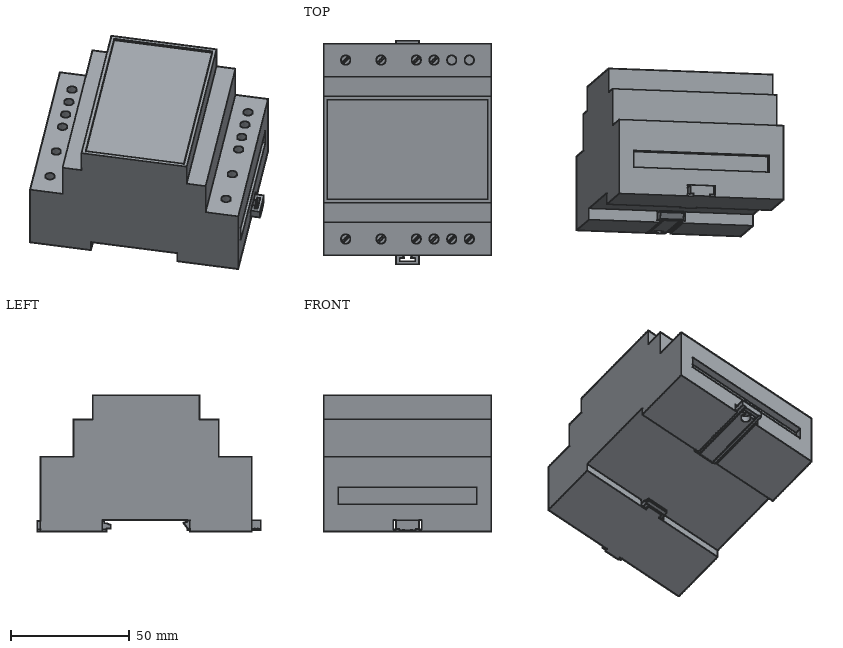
import cadquery as cq

overall_length = 94.7
width = 71.0
height = 57.8
rear_end = overall_length / 2
front_end = -overall_length / 2

housing_middle = 1.2
base_half = 44.8
shoulder_half = 30.8
top_half = 22.6
base_height = 31.8
shoulder_height = 47.5
rail_half = 18.6
rail_depth = 4.8
housing_front = housing_middle - base_half
front_leg_inside = housing_middle - rail_half
rear_leg_inside = housing_middle + rail_half

panel_margin = 1.5
panel_depth = 0.9

pitch = 7.5
hole_steps = [-3.5, -1.5, 0.5, 1.5, 2.5, 3.5]
hole_diameter = 4.0
hole_depth = 4.7
row_offset = 37.9
slot_width = 0.8
slot_depth = 0.5
slot_angle = 45.0
front_slotted_count = 6
rear_slotted_count = 4

window_width = 58.5
window_bottom = 11.6
window_height = 7.2
window_depth = 2.8

clip_width = 9.9
clip_tongue_width = 7.0
clip_height = 4.2
clip_tongue_height = 0.7
clip_clearance = 1.0
ledge_height = 0.9
channel_width = clip_width + 2 * clip_clearance
front_gap_width = clip_width

latch_bottom = rail_depth - clip_height
latch_step = latch_bottom + clip_tongue_height
latch_overhang = 1.0
latch_hook_reach = 1.8
latch_face = front_leg_inside + latch_overhang
latch_tip = latch_face + latch_hook_reach
latch_tip_height = 3.8
latch_hook_top = 4.3

pull_wall = 1.3
pull_width = 6.4
pull_length = 1.3
neck_width = 2.8
pull_hole_diameter = 4.0
pull_hole_inset = 0.5

foot_top = 4.5
foot_overhang = 1.9
foot_upper_overhang = 0.9
foot_hook_reach = 1.7
foot_face = rear_leg_inside - foot_overhang
foot_upper_face = rear_leg_inside - foot_upper_overhang
foot_tip = foot_face - foot_hook_reach
foot_hook_bottom = 1.3
foot_tip_height = 2.8
foot_hook_top = 3.6


def box(x_size, y_start, y_end, z_start, z_end):
    """Block centred on X between the given Y and Z limits."""
    block = cq.Workplane("XY").box(x_size, y_end - y_start, z_end - z_start, centered=(True, False, False))
    return block.translate((0, y_start, z_start))


def side_extrusion(points, x_size):
    """Extrude a (Y, Z) outline symmetrically along X."""
    return cq.Workplane("YZ").polyline(points).close().extrude(x_size / 2, both=True)


def housing_block():
    """Stepped block with the rail recess across its underside."""
    rear_profile = [
        (rail_half, rail_depth),
        (rail_half, 0),
        (base_half, 0),
        (base_half, base_height),
        (shoulder_half, base_height),
        (shoulder_half, shoulder_height),
        (top_half, shoulder_height),
        (top_half, height),
    ]
    front_profile = [(-y, z) for y, z in reversed(rear_profile)]
    return side_extrusion(rear_profile + front_profile, width).translate((0, housing_middle, 0))


def panel_recess():
    panel_half = top_half - panel_margin
    return box(
        width - 2 * panel_margin,
        housing_middle - panel_half,
        housing_middle + panel_half,
        height - panel_depth,
        height,
    )


def driver_slot():
    """Slanted groove below Z = 0, its ends following the round hole wall."""
    bar = cq.Workplane("XY").rect(hole_diameter, slot_width).extrude(-slot_depth)
    bar = bar.rotate((0, 0, 0), (0, 0, 1), slot_angle)
    screw_disc = cq.Workplane("XY").circle(hole_diameter / 2).extrude(-slot_depth)
    return bar.intersect(screw_disc)


def terminal_holes(row_y, slotted_count):
    """One row of screw holes; the first ones have a driver slot in the floor."""
    centres = [(step * pitch, row_y) for step in hole_steps]
    floor = base_height - hole_depth
    holes = cq.Workplane("XY").workplane(offset=floor).pushPoints(centres)
    holes = holes.circle(hole_diameter / 2).extrude(hole_depth)
    slot = driver_slot()
    for x, y in centres[:slotted_count]:
        holes = holes.union(slot.translate((x, y, floor)))
    return holes


def wire_window(end_sign):
    """Blind window in the rear (+1) or front (-1) end face."""
    face_y = housing_middle + end_sign * base_half
    floor_y = face_y - end_sign * window_depth
    return box(
        window_width,
        min(face_y, floor_y),
        max(face_y, floor_y),
        window_bottom,
        window_bottom + window_height,
    )


def clip_channel(y_start, y_end, gap_width):
    """T-shaped channel: wide above the ledges, with a narrower gap between them."""
    wide_part = box(channel_width, y_start, y_end, ledge_height, rail_depth)
    gap = box(gap_width, y_start, y_end, 0, ledge_height)
    return wide_part.union(gap)


def rear_foot():
    """Fixed rail hook, its tongue filling the gap between the rear ledges."""
    profile = [
        (rear_end, ledge_height),
        (rear_end, foot_top),
        (foot_upper_face, foot_top),
        (foot_upper_face, foot_hook_top),
        (foot_face, foot_hook_top),
        (foot_tip, foot_tip_height),
        (foot_tip, foot_hook_bottom),
        (foot_face, foot_hook_bottom),
        (foot_face, ledge_height),
    ]
    tongue = box(clip_tongue_width, foot_face, rear_end, 0, ledge_height)
    return side_extrusion(profile, clip_width).union(tongue)


def make_housing():
    housing = housing_block()
    housing = housing.cut(panel_recess())
    housing = housing.cut(terminal_holes(housing_middle - row_offset, front_slotted_count))
    housing = housing.cut(terminal_holes(housing_middle + row_offset, rear_slotted_count))
    for end_sign in (-1, 1):
        housing = housing.cut(wire_window(end_sign))
    housing = housing.cut(clip_channel(housing_front, front_leg_inside, front_gap_width))
    housing = housing.cut(clip_channel(rear_leg_inside, housing_middle + base_half, clip_tongue_width))
    return housing.union(rear_foot())


def pull_opening():
    """Cross slot, neck and round hole, all through the height of the latch."""
    slot_front = front_end + pull_wall
    slot_rear = slot_front + pull_length
    hole_y = housing_front + pull_hole_inset
    slot = box(pull_width, slot_front, slot_rear, 0, rail_depth)
    neck = box(neck_width, slot_rear, hole_y, 0, rail_depth)
    hole = cq.Workplane("XY").center(0, hole_y).circle(pull_hole_diameter / 2).extrude(rail_depth)
    return slot.union(neck).union(hole)


def make_latch():
    """Sliding latch with a rail hook inside and a pull opening outside."""
    profile = [
        (front_end, latch_step),
        (front_end, rail_depth),
        (latch_face, rail_depth),
        (latch_face, latch_hook_top),
        (latch_tip, latch_tip_height),
        (latch_face, latch_step),
    ]
    tongue = box(clip_tongue_width, front_end, latch_face, latch_bottom, latch_step)
    return side_extrusion(profile, clip_width).union(tongue).cut(pull_opening())


housing = make_housing()
latch = make_latch()

result = cq.Compound.makeCompound([housing.val(), latch.val()])